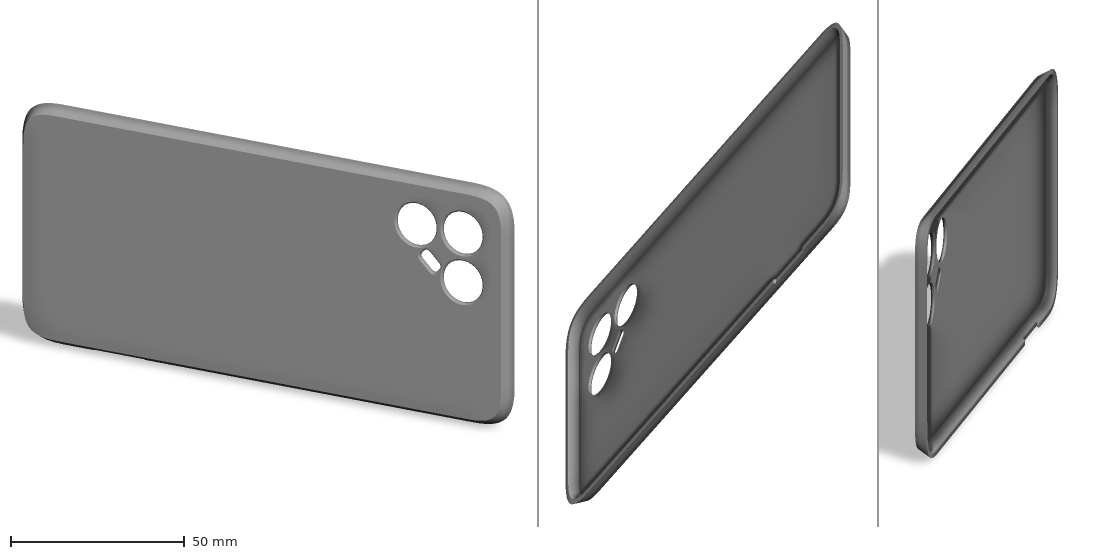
import cadquery as cq
import math

LENGTH = 160.5
DEPTH = 3.9
WIDTH = 74.0
FACE_INSET = 2.35
CORNER_REACH = 13.4
CORNER_HANDLE = 3.4

FLOOR = 1.2
WALL = 1.5

LENS_PITCH = 15.0
LENS_X = 65.1
LENS_Z = 22.3
LENS_RADIUS = 6.5
BEVEL = 0.5

FLASH_X = 54.6
FLASH_Z = 11.8
FLASH_LENGTH = 6.9
FLASH_WIDTH = 3.8
FLASH_CORNER = 1.2
FLASH_TURN = 45.0

NOTCH_X = -48.5
NOTCH_LENGTH = 16.8
NOTCH_DEPTH = 0.8

FACE_Y = -DEPTH / 2
RIM_Y = DEPTH / 2
OVERCUT = 1.0

HANDLE_SHRINK = (8 * (1 - math.sqrt(0.5)) - 1) / 3


def inset_at(y):
    """Inset of the sloping outside surface from the rim outline at depth level y."""
    return FACE_INSET * (RIM_Y - y) / DEPTH


def outline(inset, y):
    """Closed outline with full, soft corners, inset from the rim outline."""
    half_x = LENGTH / 2 - inset
    half_z = WIDTH / 2 - inset
    reach = CORNER_REACH - inset
    handle = CORNER_HANDLE - HANDLE_SHRINK * inset

    def corner(sign_x, sign_z):
        """Corner curve points, from the end of the X side to the end of the Z side."""
        steps = [(reach, 0), (handle, 0), (0, handle), (0, reach)]
        return [cq.Vector(sign_x * (half_x - a), y, sign_z * (half_z - b)) for a, b in steps]

    corners = [
        corner(1, 1),
        corner(1, -1)[::-1],
        corner(-1, -1),
        corner(-1, 1)[::-1],
    ]
    edges = []
    for points, following in zip(corners, corners[1:] + corners[:1]):
        edges.append(cq.Edge.makeBezier(points))
        edges.append(cq.Edge.makeLine(points[-1], following[0]))
    return cq.Wire.assembleEdges(edges)


def sloped_block(y_start, y_end, wall):
    """Solid between two levels, kept a wall thickness inside the outside surface."""
    start = outline(inset_at(y_start) + wall, y_start)
    end = outline(inset_at(y_end) + wall, y_end)
    return cq.Workplane(cq.Solid.makeLoft([start, end], True))


def face_workplane():
    """Workplane on the outer face, looking along +Y into the part."""
    return cq.Workplane(cq.Plane(origin=(0, FACE_Y, 0), xDir=(1, 0, 0), normal=(0, 1, 0)))


def lens_prism(growth):
    return face_workplane().circle(LENS_RADIUS + growth).extrude(DEPTH)


def flash_prism(growth):
    length = FLASH_LENGTH + 2 * growth
    width = FLASH_WIDTH + 2 * growth
    block = face_workplane().rect(length, width).extrude(DEPTH)
    return block.edges("|Y").fillet(FLASH_CORNER + growth)


def bevelled_cutter(prism):
    """Cutter through the floor, widened by a 45 degree bevel at the outer face.

    prism(growth) is the opening's prism, enlarged on every side by growth.
    """
    mouth = prism(BEVEL).faces("<Y").wires().val()
    throat = prism(0).faces("<Y").wires().val().translate(cq.Vector(0, BEVEL, 0))
    return prism(0).union(cq.Workplane(cq.Solid.makeLoft([mouth, throat], True)))


def lens_cutters():
    centres = [
        (LENS_X, LENS_Z),
        (LENS_X - LENS_PITCH, LENS_Z),
        (LENS_X, LENS_Z - LENS_PITCH),
    ]
    cutter = bevelled_cutter(lens_prism)
    return [cutter.translate((x, 0, z)) for x, z in centres]


def flash_cutter():
    turned = bevelled_cutter(flash_prism).rotate((0, 0, 0), (0, 1, 0), FLASH_TURN)
    return turned.translate((FLASH_X, 0, FLASH_Z))


def rim_notch():
    """Shallow cut in the rim of the -Z wall, open towards +Y."""
    wall_zone = 2 * WALL + FACE_INSET
    block = cq.Workplane().box(NOTCH_LENGTH, 2 * NOTCH_DEPTH, wall_zone)
    return block.translate((NOTCH_X, RIM_Y, -WIDTH / 2))


result = sloped_block(FACE_Y, RIM_Y, 0)
result = result.cut(sloped_block(FACE_Y + FLOOR, RIM_Y + OVERCUT, WALL))
for lens in lens_cutters():
    result = result.cut(lens)
result = result.cut(flash_cutter())
result = result.cut(rim_notch())